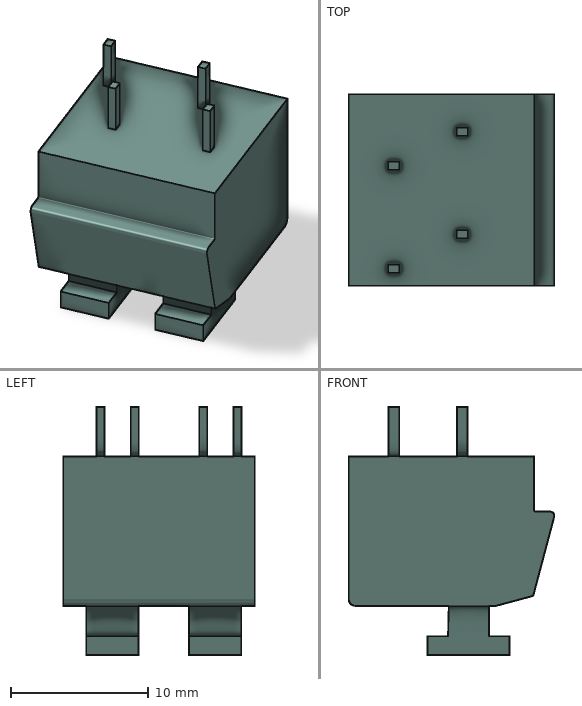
import cadquery as cq
import math

housing_width = 14.0
housing_bottom = 3.58
housing_top = 14.5
wall_x = 13.52
ledge_z = 10.48
nose_x = 15.0
slope_start_x = 10.73
slope_end_x = 13.47
face_angle = math.radians(15)

nose_radius = 0.33
ledge_radius = 0.13
chin_radius = 0.2
heel_radius = 0.5

pole_pitch = 7.5
pole_count = 2

foot_width = 3.82
foot_start_y = 1.0
base_left = 5.74
base_right = 11.75
base_height = 1.4
stem_left = 7.3
stem_right = 10.25
stem_taper = 0.05

pin_size_x = 0.8
pin_size_y = 0.6
pin_top = 18.1
first_pin_x = 3.3
first_pin_y = 1.27
pin_row_pitch = 5.0
pin_stagger = 2.5


def extrude_profile(points, start_y, width):
    """Extrude an XZ outline from start_y toward +Y."""
    return cq.Workplane("XZ", origin=(0, start_y, 0)).polyline(points).close().extrude(-width)


def round_edge(body, x, z, radius):
    """Round the edge along Y nearest to the given XZ position."""
    nearest = cq.selectors.NearestToPointSelector((x, housing_width / 2, z))
    return body.edges("|Y").edges(nearest).fillet(radius)


def make_housing():
    nose_half_angle = (math.pi / 2 - face_angle) / 2
    nose_corner_x = nose_x - nose_radius + nose_radius / math.tan(nose_half_angle)
    chin_z = housing_bottom + (slope_end_x - slope_start_x) * math.tan(face_angle)
    profile = [
        (0, housing_bottom),
        (slope_start_x, housing_bottom),
        (slope_end_x, chin_z),
        (nose_corner_x, ledge_z),
        (wall_x, ledge_z),
        (wall_x, housing_top),
        (0, housing_top),
    ]
    body = extrude_profile(profile, 0, housing_width)
    body = round_edge(body, 0, housing_bottom, heel_radius)
    body = round_edge(body, slope_end_x, chin_z, chin_radius)
    body = round_edge(body, nose_corner_x, ledge_z, nose_radius)
    return round_edge(body, wall_x, ledge_z, ledge_radius)


def make_foot(start_y):
    profile = [
        (base_left, 0),
        (base_right, 0),
        (base_right, base_height),
        (stem_right, base_height),
        (stem_right, housing_bottom),
        (stem_left, housing_bottom),
        (stem_left - stem_taper, base_height),
        (base_left, base_height),
    ]
    return extrude_profile(profile, start_y, foot_width)


def make_pin(x, y):
    pin = cq.Workplane("XY", origin=(x, y, housing_top)).rect(pin_size_x, pin_size_y)
    return pin.extrude(pin_top - housing_top)


result = make_housing()
for pole in range(pole_count):
    pole_y = pole * pole_pitch
    result = result.union(make_foot(foot_start_y + pole_y))
    for row in range(2):
        pin_x = first_pin_x + row * pin_row_pitch
        pin_y = first_pin_y + pole_y + row * pin_stagger
        result = result.union(make_pin(pin_x, pin_y))